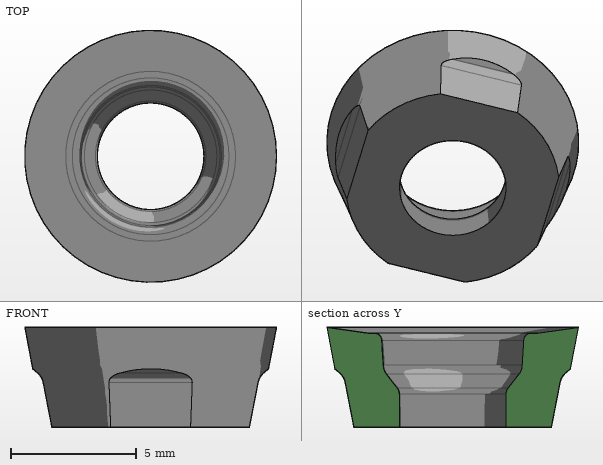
import cadquery as cq
import math

height = 3.97
top_radius = 5.0
clearance_angle = 11.0
taper = math.tan(math.radians(clearance_angle))
base_radius = top_radius - height * taper

land_outer_radius = 3.37
land_inner_radius = 3.11
land_z = height - 0.23

upper_bore_radius = 2.75
upper_bore_top_radius = 2.81
lower_bore_radius = 2.11
mouth_radius = land_inner_radius - upper_bore_top_radius
seat_angle = math.radians(38.0)
seat_top_z = 2.47
seat_top_blend = 0.57
seat_bottom_blend = 0.39

flat_count = 4
flat_base_distance = 3.92
flat_top_z = 1.78
flat_blend_radius = 0.65
flat_runout_angle = math.radians(49.0)
cutter_reach = 2.0
flat_width = 4.0


def blend_midpoint(center, radius, start_angle, end_angle):
    """Return the point halfway along an arc."""
    middle = (start_angle + end_angle) / 2
    return center[0] + radius * math.cos(middle), center[1] + radius * math.sin(middle)


def make_body():
    """Revolve the half section, including the hole."""
    seat_start = (
        upper_bore_radius - seat_top_blend * (1 - math.cos(seat_angle)),
        seat_top_z - seat_top_blend * math.sin(seat_angle),
    )
    seat_end_radius = lower_bore_radius + seat_bottom_blend * (1 - math.cos(seat_angle))
    seat_end_z = seat_start[1] - (seat_start[0] - seat_end_radius) / math.tan(seat_angle)
    lower_bore_top_z = seat_end_z - seat_bottom_blend * math.sin(seat_angle)

    mouth_center = (land_inner_radius, land_z - mouth_radius)
    seat_top_center = (upper_bore_radius - seat_top_blend, seat_top_z)
    seat_bottom_center = (lower_bore_radius + seat_bottom_blend, lower_bore_top_z)
    return (
        cq.Workplane("XZ")
        .moveTo(base_radius, 0)
        .lineTo(top_radius, height)
        .lineTo(land_outer_radius, land_z)
        .lineTo(land_inner_radius, land_z)
        .threePointArc(
            blend_midpoint(mouth_center, mouth_radius, math.pi / 2, math.pi),
            (upper_bore_top_radius, mouth_center[1]),
        )
        .lineTo(upper_bore_radius, seat_top_z)
        .threePointArc(
            blend_midpoint(seat_top_center, seat_top_blend, 0, -seat_angle),
            seat_start,
        )
        .lineTo(seat_end_radius, seat_end_z)
        .threePointArc(
            blend_midpoint(seat_bottom_center, seat_bottom_blend, math.pi - seat_angle, math.pi),
            (lower_bore_radius, lower_bore_top_z),
        )
        .lineTo(lower_bore_radius, 0)
        .close()
        .revolve(360, (0, 0, 0), (0, 1, 0))
    )


def make_flat_cutter():
    """Build the material removed by one flat on the +X side."""
    start_angle = math.pi - math.radians(clearance_angle)
    end_angle = math.pi - flat_runout_angle
    flat_top = (flat_base_distance + flat_top_z * taper, flat_top_z)
    center = (
        flat_top[0] - flat_blend_radius * math.cos(start_angle),
        flat_top[1] - flat_blend_radius * math.sin(start_angle),
    )
    blend_end = (
        center[0] + flat_blend_radius * math.cos(end_angle),
        center[1] + flat_blend_radius * math.sin(end_angle),
    )
    outer_x = blend_end[0] + cutter_reach
    return (
        cq.Workplane("XZ")
        .moveTo(flat_base_distance, 0)
        .lineTo(*flat_top)
        .threePointArc(blend_midpoint(center, flat_blend_radius, start_angle, end_angle), blend_end)
        .lineTo(outer_x, blend_end[1] + cutter_reach / math.tan(flat_runout_angle))
        .lineTo(outer_x, 0)
        .close()
        .extrude(flat_width / 2, both=True)
    )


result = make_body()
flat_cutter = make_flat_cutter()
for index in range(flat_count):
    turn = index * 360 / flat_count
    result = result.cut(flat_cutter.rotate((0, 0, 0), (0, 0, 1), turn))